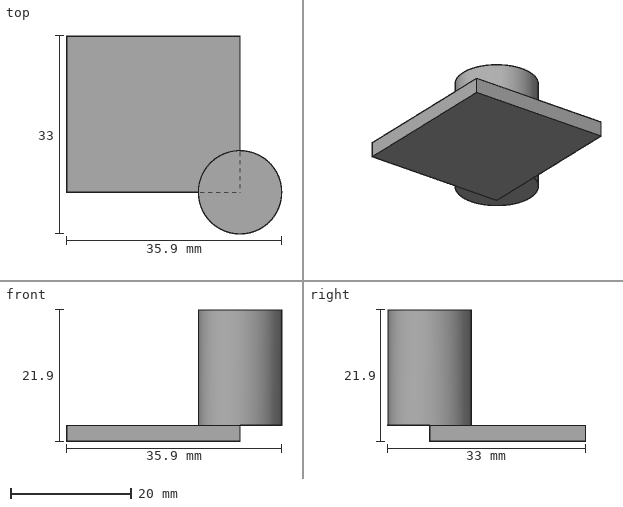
import cadquery as cq

overall_length = 35.88
overall_width = 32.97
overall_height = 21.92
post_radius = 6.95
plate_thickness = 2.65

plate_length = overall_length - post_radius
plate_width = overall_width - post_radius
post_height = overall_height - plate_thickness

plate = cq.Workplane("XY").box(
    plate_length, plate_width, plate_thickness, centered=False
).translate((-plate_length, 0, 0))

post = (
    cq.Workplane("XY")
    .workplane(offset=plate_thickness)
    .circle(post_radius)
    .extrude(post_height)
)

result = plate.union(post)